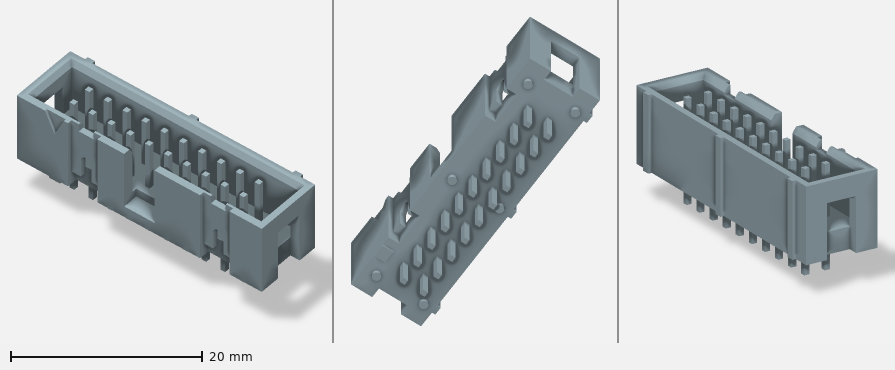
import cadquery as cq

length = 33.0
height = 8.9
front_y = -4.5
back_y = 4.4
cavity_length = 30.5
cavity_width = 6.27
floor_height = 2.57
lead_in_width = 0.45
lead_in_height = 0.65

pitch = 2.55
columns = 10
rows = 2
pin_side = 0.63
pin_bottom = -3.43
pin_top = 8.6
first_pin_x = -pitch * (columns - 1) / 2
first_pin_y = -pitch * (rows - 1) / 2

key_width = 4.1
key_bottom = 1.5
key_back_y = -2.48

recess_centres = (-3 * pitch, 4 * pitch)
recess_width = 3.95
recess_depth = 0.6
undercut_height = 1.68
notch_width = 1.98
notch_depth = 1.0
arch_width = 1.42
arch_top = 4.7

window_width = 3.63
window_top = 6.47

rib_width = 1.0
rib_depth = 0.43
peg_diameter = 1.0
peg_height = 0.5
peg_y = 3.0
support_x = 14.0

marker_width = pitch
marker_height = 2.6
marker_depth = 0.33
tab_width = 1.52
tab_height = 0.23

wall_inner_y = -cavity_width / 2
end_inner_x = cavity_length / 2
support_positions = (-support_x, 0, support_x)


def block(x_range, y_range, z_range):
    """Box spanning the given (low, high) limits on each axis."""
    limits = (x_range, y_range, z_range)
    sizes = [high - low for low, high in limits]
    return cq.Workplane("XY").box(*sizes, centered=False).translate(tuple(low for low, _ in limits))


def around(centre, width):
    """Limits of a span of the given width about a centre."""
    return (centre - width / 2, centre + width / 2)


def make_shroud():
    """Open-topped housing with a sloped lead-in around the mouth of the cavity."""
    body = block(around(0, length), (front_y, back_y), (0, height))
    cavity = block(around(0, cavity_length), around(0, cavity_width), (floor_height, height))
    lead_in = (
        cq.Workplane("XY")
        .workplane(offset=height - lead_in_height)
        .rect(cavity_length, cavity_width)
        .workplane(offset=lead_in_height)
        .rect(cavity_length + 2 * lead_in_width, cavity_width + 2 * lead_in_width)
        .loft(ruled=True)
    )
    return body.cut(cavity).cut(lead_in)


def make_latch_cut(x):
    """Recess with a deeper foot, an arched opening and a notch at the rim."""
    through_wall = (front_y, wall_inner_y)
    recess = block(around(x, recess_width), (front_y, front_y + recess_depth), (0, height))
    foot = block(around(x, recess_width), through_wall, (0, undercut_height))
    arch_radius = arch_width / 2
    arch_centre_z = arch_top - arch_radius
    arch = block(around(x, arch_width), through_wall, (0, arch_centre_z))
    arch_head = (
        cq.Workplane("XZ", origin=(x, wall_inner_y, arch_centre_z))
        .circle(arch_radius)
        .extrude(wall_inner_y - front_y)
    )
    notch = block(around(x, notch_width), through_wall, (height - notch_depth, height))
    return recess.union(foot).union(arch).union(arch_head).union(notch)


def make_end_window(side):
    """Opening in one end wall; side is -1 or 1."""
    x_range = sorted((side * end_inner_x, side * length / 2))
    return block(x_range, around(0, window_width), (0, window_top))


def make_marker():
    """Triangle engraved in the front wall above the first contact."""
    return (
        cq.Workplane("XZ", origin=(first_pin_x, front_y + marker_depth, height))
        .polyline([(-marker_width / 2, 0), (marker_width / 2, 0), (0, -marker_height)])
        .close()
        .extrude(marker_depth)
    )


result = make_shroud()

result = result.cut(block(around(0, key_width), (front_y, key_back_y), (key_bottom, height)))
for recess_x in recess_centres:
    result = result.cut(make_latch_cut(recess_x))
for end_side in (-1, 1):
    result = result.cut(make_end_window(end_side))
result = result.cut(make_marker())

for x in support_positions:
    result = result.union(block(around(x, rib_width), (back_y, back_y + rib_depth), (0, height)))
    for y in (-peg_y, peg_y):
        peg = cq.Workplane("XY").center(x, y).circle(peg_diameter / 2).extrude(-peg_height)
        result = result.union(peg)

result = result.union(block(around(first_pin_x, tab_width), (front_y, wall_inner_y), (-tab_height, 0)))

for column in range(columns):
    for row in range(rows):
        pin_x = first_pin_x + column * pitch
        pin_y = first_pin_y + row * pitch
        pin = block(around(pin_x, pin_side), around(pin_y, pin_side), (pin_bottom, pin_top))
        result = result.union(pin)